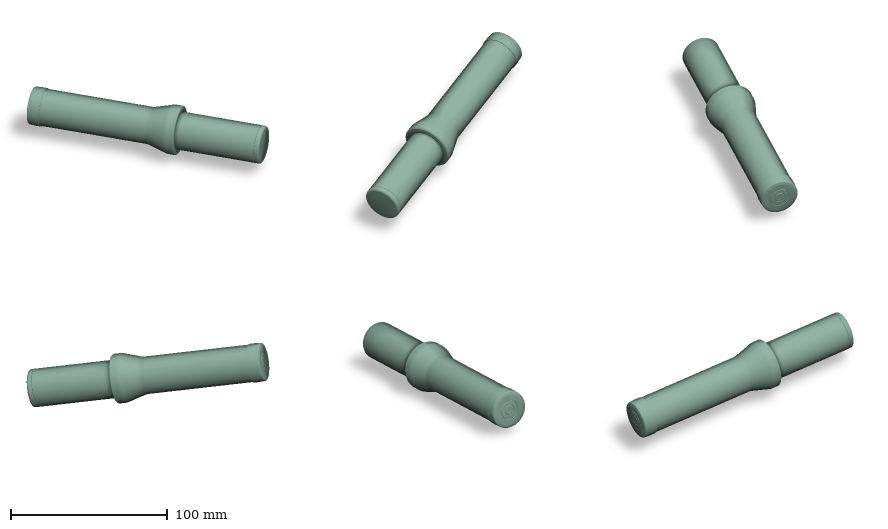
import cadquery as cq

LENGTH = 155.0
TUBE_DIA = 24.0
SHANK_DIA = 24.5
CAP_DIA = 25.0
FLANGE_DIA = 32.0

CAP_END = 8.5
CAP_FACE_RADIUS = 10.2
CAP_BEVEL_END = 0.5
CAP_BEVEL_RADIUS = 12.0
CAP_RIM_END = 1.0
CAP_TAPER_END = 5.6
RING_WIDTH = 0.5
RING_DEPTH = 0.3
OUTER_RING_RADIUS = 6.2
INNER_RING_RADIUS = 3.3
DIMPLE_RADIUS = 2.2
DIMPLE_DEPTH = 0.2

TAPER_START = 79.7
TAPER_END = 93.2
TAPER_BLEND_RADIUS = 5.6
FLANGE_END = 99.0
FLANGE_CHAMFER = 0.6

NECK_END = 100.0
SHANK_START = 100.9
GROOVE_START = 151.3
GROOVE_WIDTH = 0.6
GROOVE_DEPTH = 0.3
END_ROUND = 1.4


def revolve_about_x(profile):
    """Turn a closed half-profile in the XY plane about the X axis."""
    return profile.close().revolve(360, (0, 0, 0), (1, 0, 0))


def make_ring_groove(radius):
    """Cutter for a V-shaped ring groove in the cap face."""
    return revolve_about_x(
        cq.Workplane("XY")
        .moveTo(0, radius - RING_WIDTH / 2)
        .lineTo(RING_DEPTH, radius)
        .lineTo(0, radius + RING_WIDTH / 2)
    )


def make_cap():
    """Slightly conical cap with a centre dimple and two ring grooves in its face."""
    cap = revolve_about_x(
        cq.Workplane("XY")
        .moveTo(DIMPLE_DEPTH, 0)
        .lineTo(0, DIMPLE_RADIUS)
        .lineTo(0, CAP_FACE_RADIUS)
        .lineTo(CAP_BEVEL_END, CAP_BEVEL_RADIUS)
        .lineTo(CAP_RIM_END, SHANK_DIA / 2)
        .lineTo(CAP_TAPER_END, CAP_DIA / 2)
        .lineTo(CAP_END, CAP_DIA / 2)
        .lineTo(CAP_END, 0)
    )
    for radius in (INNER_RING_RADIUS, OUTER_RING_RADIUS):
        cap = cap.cut(make_ring_groove(radius))
    return cap


def make_collar():
    """Tube, tapered collar and flange, with both ends of the taper blended."""
    collar = revolve_about_x(
        cq.Workplane("XY")
        .moveTo(CAP_END, 0)
        .lineTo(CAP_END, TUBE_DIA / 2)
        .lineTo(TAPER_START, TUBE_DIA / 2)
        .lineTo(TAPER_END, FLANGE_DIA / 2)
        .lineTo(FLANGE_END, FLANGE_DIA / 2)
        .lineTo(FLANGE_END, 0)
    )
    collar = collar.faces(">X").edges().chamfer(FLANGE_CHAMFER)
    taper_face = collar.faces("%CONE").faces("<X")
    return taper_face.edges("%CIRCLE").fillet(TAPER_BLEND_RADIUS)


def make_shank():
    """Necked shank with a shallow V groove and a rounded far end."""
    shank_radius = SHANK_DIA / 2
    shank = revolve_about_x(
        cq.Workplane("XY")
        .moveTo(FLANGE_END, 0)
        .lineTo(FLANGE_END, TUBE_DIA / 2)
        .lineTo(NECK_END, TUBE_DIA / 2)
        .lineTo(SHANK_START, shank_radius)
        .lineTo(GROOVE_START, shank_radius)
        .lineTo(GROOVE_START + GROOVE_WIDTH / 2, shank_radius - GROOVE_DEPTH)
        .lineTo(GROOVE_START + GROOVE_WIDTH, shank_radius)
        .lineTo(LENGTH, shank_radius)
        .lineTo(LENGTH, 0)
    )
    return shank.faces(">X").edges().fillet(END_ROUND)


cap = make_cap()
handle = make_collar().union(make_shank())

result = cq.Compound.makeCompound([cap.solids().val(), handle.solids().val()])